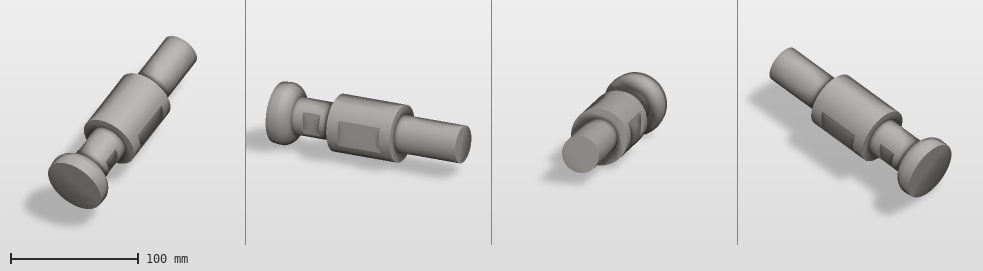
import cadquery as cq

total_length = 160.0
rod_diameter = 30.0
rod_flat_width = 24.0
rod_flat_length = 15.0
rod_flat_start = 27.0

head_diameter = 50.0
head_face_diameter = 48.6
head_length = 18.0
head_taper_length = 6.0
head_round_start = 9.0
head_round_radius = 12.0

sleeve_diameter = 46.0
sleeve_length = 55.0
sleeve_start = 52.0
sleeve_flat_width = 41.0
sleeve_flat_length = 36.0


def cylinder_along_y(diameter, start, length):
    """Cylinder on the Y axis running from start towards +Y."""
    plane = cq.Workplane("XZ", origin=(0, start, 0))
    return plane.circle(diameter / 2).extrude(-length)


def cut_side_flats(body, diameter, flat_width, start, length):
    """Mill a pair of parallel flats facing -X and +X."""
    for side in (-1, 1):
        cutter = cq.Workplane("XY").box(diameter, length, diameter).translate(
            (side * (flat_width + diameter) / 2, start + length / 2, 0)
        )
        body = body.cut(cutter)
    return body


def make_head():
    """Button head: tapered face rim, short cylindrical band and convex back ending at the rod."""
    radius = head_diameter / 2
    profile = (
        cq.Workplane("XY")
        .lineTo(head_face_diameter / 2, 0)
        .lineTo(radius, head_taper_length)
        .lineTo(radius, head_round_start)
        .radiusArc((rod_diameter / 2, head_length), -head_round_radius)
        .lineTo(0, head_length)
        .close()
    )
    return profile.revolve(360, (0, 0, 0), (0, 1, 0))


def make_plunger():
    """Rod with its button head and the wrench flats beside the head."""
    rod = cylinder_along_y(rod_diameter, head_length, total_length - head_length)
    rod = cut_side_flats(rod, rod_diameter, rod_flat_width, rod_flat_start, rod_flat_length)
    return make_head().union(rod)


def make_sleeve():
    """Guide sleeve bored to the rod diameter, with centred wrench flats."""
    sleeve = cylinder_along_y(sleeve_diameter, sleeve_start, sleeve_length)
    bore = cylinder_along_y(rod_diameter, sleeve_start, sleeve_length)
    flat_start = sleeve_start + (sleeve_length - sleeve_flat_length) / 2
    sleeve = cut_side_flats(
        sleeve, sleeve_diameter, sleeve_flat_width, flat_start, sleeve_flat_length
    )
    return sleeve.cut(bore)


plunger = make_plunger()
sleeve = make_sleeve()
result = cq.Compound.makeCompound([plunger.val(), sleeve.val()])